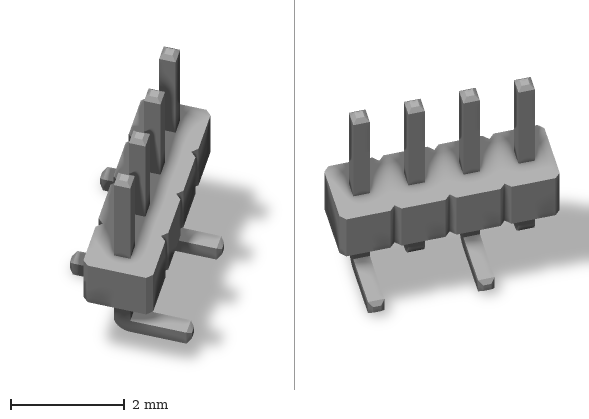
import cadquery as cq

pin_count = 4
pitch = 1.0

body_width = 1.27
body_height = 1.0
body_bottom = 1.0
body_length = pin_count * pitch
corner_cut_x = 0.105
corner_cut_y = 0.1

pin_size = 0.3
pin_top = 4.0
foot_span = 2.5
foot_reach = foot_span / 2
bend_radius = pin_size
tip_bevel = 0.075


def body_segment(center_y):
    """One pitch of the body: a block with its four vertical corners cut."""
    half_x = body_width / 2
    half_y = pitch / 2
    flat_x = half_x - corner_cut_x
    flat_y = half_y - corner_cut_y
    outline = [
        (flat_x, half_y),
        (half_x, flat_y),
        (half_x, -flat_y),
        (flat_x, -half_y),
        (-flat_x, -half_y),
        (-half_x, -flat_y),
        (-half_x, flat_y),
        (-flat_x, half_y),
    ]
    segment = cq.Workplane("XY").polyline(outline).close().extrude(body_height)
    return segment.translate((0, center_y, body_bottom))


def bent_pin():
    """L-shaped pin centred on Y = 0 with its foot towards +X and both tips bevelled."""
    half = pin_size / 2
    pin = (
        cq.Workplane("XZ")
        .moveTo(-half, pin_top)
        .lineTo(half, pin_top)
        .lineTo(half, pin_size)
        .lineTo(foot_reach, pin_size)
        .lineTo(foot_reach, 0)
        .lineTo(bend_radius - half, 0)
        .radiusArc((-half, bend_radius), bend_radius)
        .close()
        .extrude(half, both=True)
    )
    pin = pin.faces(">Z").chamfer(tip_bevel)
    return pin.faces(">X").chamfer(tip_bevel)


right_pin = bent_pin()
left_pin = right_pin.mirror("YZ")

result = cq.Workplane("XY")
for index in range(pin_count):
    center_y = index * pitch - (body_length - pitch) / 2
    pin = right_pin if index % 2 == 0 else left_pin
    result = result.union(body_segment(center_y))
    result = result.union(pin.translate((0, center_y, 0)))
result = result.clean()